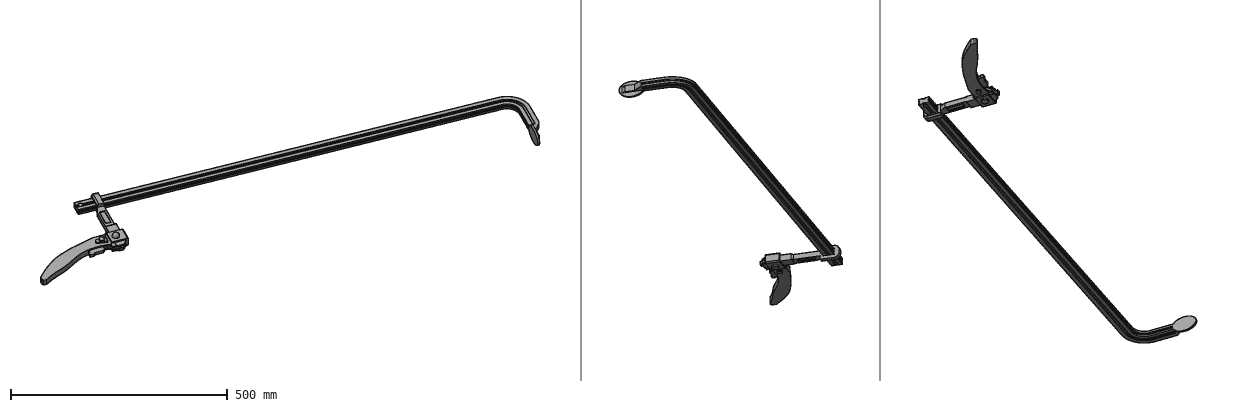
import cadquery as cq


RAIL_WIDTH = 27.0
RAIL_THICKNESS = 15.0
RAIL_TOP = 1103.0
BEND_RADIUS = 45.0
BENT_END = 101.0
FACE_GROOVE_WIDTH = 5.7
SIDE_GROOVE_WIDTH = 4.0
GROOVE_DEPTH = 1.9
STOP_Y = 10.0
STOP_DIAMETER = 11.0
STOP_HEIGHT = 1.0

PAD_CENTRE_X = 132.0
PAD_LENGTH = 61.0
PAD_HEIGHT = 38.0
PAD_THICKNESS = 5.0
TOE_RIDGE_HEIGHT = 10.0
TOE_RIDGE_START = 123.0
TOE_RIDGE_END = 146.0
TOE_END = 155.0

ARM_THICKNESS = 15.0
BEAM_THICKNESS = 13.0
SLEEVE_LEFT = -25.0
SLEEVE_RIGHT = 20.0
SLEEVE_BOTTOM = 45.0
SLEEVE_HEIGHT = 30.0
SLEEVE_ROUND = 11.0
SLEEVE_EDGE = 4.0
ARM_BOTTOM = 38.0
ARM_TOP = 61.0
ARM_TAPER_END = 35.0
HEAD_STEP_START = 85.0
HEAD_STEP_END = 90.0
HEAD_TOP = 65.0
HEAD_RIGHT = 164.0
HEAD_BEVEL_WIDTH = 11.0
HEAD_BEVEL_HEIGHT = 8.0
ARM_RIB = 5.0
ARM_POCKET_LEFT = 37.0
ARM_POCKET_RIGHT = 79.0
ARM_POCKET_DEPTH = 3.0

CLEVIS_LEFT = 117.0
CLEVIS_RIGHT = 151.0
CLEVIS_BOTTOM = 30.0
CLEVIS_TOP = 72.0
CLEVIS_CHEEK = 4.0
CLEVIS_EDGE = 3.2

PIVOT_X = 135.0
PIVOT_Y = 47.0
PIVOT_RADIUS = 5.0
PIVOT_HEAD_RADIUS = 9.0
PIVOT_FOOT_HEIGHT = 4.0

HANDLE_THICKNESS = 15.0
HANDLE_HEAD_LEFT = 113.0
HANDLE_HEAD_RIGHT = 162.0
HANDLE_HEAD_BOTTOM = 28.0
HANDLE_NECK_LEFT = 117.0
HANDLE_NECK_RIGHT = 153.0
HANDLE_INNER_EDGE = [(117.0, -4.0), (124.0, -33.0), (136.0, -68.0), (155.0, -110.0), (178.0, -140.0), (204.0, -165.0)]
HANDLE_OUTER_EDGE = [
    (217.0, -155.0), (210.0, -145.0), (202.0, -128.0), (191.0, -104.0), (178.0, -80.0), (158.0, -46.0), (151.0, -11.0),
    (HANDLE_NECK_RIGHT, HANDLE_HEAD_BOTTOM),
]
HANDLE_TIP = (217.0, -162.0)
HANDLE_TIP_BLUNT = 5.0

TRIGGER_THICKNESS = 8.0
TRIGGER_ROOT = 145.0
TRIGGER_NECK = 155.0
TRIGGER_OUTLINE = [
    (TRIGGER_ROOT, -19.0), (TRIGGER_ROOT, 32.0), (TRIGGER_NECK, 32.0), (TRIGGER_NECK, 56.0),
    (162.0, 56.0), (170.0, 52.0), (170.0, 40.0), (166.0, 48.0), (162.0, 40.0), (158.0, 29.0), (151.0, 19.0),
    (151.0, 10.0), (158.0, 10.0), (164.0, 5.0), (164.0, -15.0), (167.0, -19.0), (167.0, -29.0), (161.0, -29.0),
]
TRIGGER_SLOT_BOTTOM = -27.0

STRAP_THICKNESS = 4.0
STRAP_TOP = 24.0
STRAP_BOTTOM = -4.0
STRAP_WIDE = 18.0
STRAP_NARROW = 10.0

RIVET_X = 136.0
RIVET_Y = 11.0
RIVET_RADIUS = 4.0
RIVET_HEAD_RADIUS = 6.0
RIVET_HEAD_HEIGHT = 4.0


def box_between(x0, x1, y0, y1, height):
    """Block between two X and two Y positions, centred on the mid plane."""
    return cq.Workplane().box(x1 - x0, y1 - y0, height).translate(((x0 + x1) / 2, (y0 + y1) / 2, 0))


def plate(outline, thickness):
    """Flat plate of the given outline, centred on the mid plane."""
    return cq.Workplane().workplane(offset=-thickness / 2).polyline(outline).close().extrude(thickness)


def post(x, y, radius, bottom, top):
    """Round bar along Z."""
    return cq.Workplane().workplane(offset=bottom).center(x, y).circle(radius).extrude(top - bottom)


def make_rail():
    arm_axis_y = RAIL_TOP - RAIL_WIDTH / 2
    section = cq.Sketch().rect(RAIL_WIDTH, RAIL_THICKNESS)
    section = section.push([(0, RAIL_THICKNESS / 2), (0, -RAIL_THICKNESS / 2)])
    section = section.rect(FACE_GROOVE_WIDTH, 2 * GROOVE_DEPTH, mode="s").reset()
    section = section.push([(RAIL_WIDTH / 2, 0), (-RAIL_WIDTH / 2, 0)])
    section = section.rect(2 * GROOVE_DEPTH, SIDE_GROOVE_WIDTH, mode="s").reset()
    path = (
        cq.Workplane()
        .lineTo(0, arm_axis_y - BEND_RADIUS)
        .radiusArc((BEND_RADIUS, arm_axis_y), BEND_RADIUS)
        .lineTo(BENT_END, arm_axis_y)
    )
    rail = cq.Workplane("XZ").placeSketch(section).sweep(path)

    face_y = RAIL_TOP - RAIL_WIDTH
    toe = plate(
        [
            (BENT_END, face_y),
            (BENT_END, RAIL_TOP),
            (TOE_RIDGE_START, face_y + TOE_RIDGE_HEIGHT),
            (TOE_RIDGE_END, face_y + TOE_RIDGE_HEIGHT),
            (TOE_END, face_y + PAD_THICKNESS),
            (TOE_END, face_y),
        ],
        RAIL_THICKNESS,
    )
    pad = (
        cq.Workplane("XZ", origin=(PAD_CENTRE_X, face_y, 0))
        .ellipse(PAD_LENGTH / 2, PAD_HEIGHT / 2)
        .extrude(-PAD_THICKNESS)
    )
    stop_reach = RAIL_THICKNESS / 2 + STOP_HEIGHT
    stop = post(0, STOP_Y, STOP_DIAMETER / 2, -stop_reach, stop_reach)
    return rail.union(toe).union(pad).union(stop)


def make_arm():
    sleeve = box_between(SLEEVE_LEFT, SLEEVE_RIGHT, SLEEVE_BOTTOM, ARM_TOP, SLEEVE_HEIGHT)
    sleeve = sleeve.edges("<X and |Y").fillet(SLEEVE_ROUND)
    sleeve = sleeve.faces("<Y").edges("not >X").chamfer(SLEEVE_EDGE)
    beam = plate(
        [
            (SLEEVE_RIGHT, SLEEVE_BOTTOM),
            (ARM_TAPER_END, ARM_BOTTOM),
            (HEAD_STEP_END, ARM_BOTTOM),
            (HEAD_STEP_END, HEAD_TOP),
            (HEAD_STEP_START, ARM_TOP),
            (SLEEVE_RIGHT, ARM_TOP),
        ],
        BEAM_THICKNESS,
    )
    head = plate(
        [
            (HEAD_STEP_END, ARM_BOTTOM),
            (HEAD_RIGHT, ARM_BOTTOM),
            (HEAD_RIGHT, HEAD_TOP - HEAD_BEVEL_HEIGHT),
            (HEAD_RIGHT - HEAD_BEVEL_WIDTH, HEAD_TOP),
            (HEAD_STEP_END, HEAD_TOP),
        ],
        ARM_THICKNESS,
    )
    arm = sleeve.union(beam).union(head)

    pocket = box_between(
        ARM_POCKET_LEFT, ARM_POCKET_RIGHT, ARM_BOTTOM + ARM_RIB, ARM_TOP - ARM_RIB, 2 * ARM_POCKET_DEPTH
    )
    for side in (1, -1):
        arm = arm.cut(pocket.translate((0, 0, side * BEAM_THICKNESS / 2)))

    rail_window = box_between(-RAIL_WIDTH / 2, RAIL_WIDTH / 2, ARM_BOTTOM, HEAD_TOP, RAIL_THICKNESS)
    pivot_hole = post(PIVOT_X, PIVOT_Y, PIVOT_RADIUS, -ARM_THICKNESS, ARM_THICKNESS)
    return arm.cut(rail_window).cut(pivot_hole).cut(trigger_slot())


def make_clevis():
    height = ARM_THICKNESS + 2 * CLEVIS_CHEEK
    clevis = box_between(CLEVIS_LEFT, CLEVIS_RIGHT, CLEVIS_BOTTOM, CLEVIS_TOP, height)
    clevis = clevis.faces(">Y").edges("|X").chamfer(CLEVIS_EDGE)
    arm_slot = box_between(CLEVIS_LEFT, CLEVIS_RIGHT, CLEVIS_BOTTOM, HEAD_TOP, ARM_THICKNESS)
    pivot_hole = post(PIVOT_X, PIVOT_Y, PIVOT_RADIUS, -height, height)
    return clevis.cut(arm_slot).cut(pivot_hole)


def make_pivot():
    seat = ARM_THICKNESS / 2 + CLEVIS_CHEEK
    shank = post(PIVOT_X, PIVOT_Y, PIVOT_RADIUS, -seat, seat)
    foot = post(PIVOT_X, PIVOT_Y, PIVOT_HEAD_RADIUS, -seat - PIVOT_FOOT_HEIGHT, -seat)
    dome = cq.Workplane().sphere(PIVOT_HEAD_RADIUS, angle1=0).translate((PIVOT_X, PIVOT_Y, seat))
    return shank.union(foot).union(dome)


def make_handle():
    handle = (
        cq.Workplane()
        .workplane(offset=-HANDLE_THICKNESS / 2)
        .moveTo(HANDLE_NECK_RIGHT, HANDLE_HEAD_BOTTOM)
        .lineTo(HANDLE_HEAD_RIGHT, HANDLE_HEAD_BOTTOM)
        .lineTo(HANDLE_HEAD_RIGHT, ARM_BOTTOM)
        .lineTo(HANDLE_HEAD_LEFT, ARM_BOTTOM)
        .lineTo(HANDLE_HEAD_LEFT, HANDLE_HEAD_BOTTOM)
        .lineTo(HANDLE_NECK_LEFT, HANDLE_HEAD_BOTTOM)
        .lineTo(*HANDLE_INNER_EDGE[0])
        .spline(HANDLE_INNER_EDGE[1:], includeCurrent=True)
        .lineTo(HANDLE_TIP[0] - HANDLE_TIP_BLUNT, HANDLE_INNER_EDGE[-1][1])
        .lineTo(*HANDLE_TIP)
        .lineTo(*HANDLE_OUTER_EDGE[0])
        .spline(HANDLE_OUTER_EDGE[1:], includeCurrent=True)
        .close()
        .extrude(HANDLE_THICKNESS)
    )
    rivet_hole = post(RIVET_X, RIVET_Y, RIVET_RADIUS, -HANDLE_THICKNESS, HANDLE_THICKNESS)
    return handle.cut(rivet_hole).cut(trigger_slot())


def trigger_slot():
    """Slot that clears the trigger, deeper in the handle than in the arm."""
    in_handle = box_between(TRIGGER_ROOT, HEAD_RIGHT, TRIGGER_SLOT_BOTTOM, ARM_BOTTOM, TRIGGER_THICKNESS)
    in_arm = box_between(TRIGGER_NECK, HEAD_RIGHT, ARM_BOTTOM, HEAD_TOP, TRIGGER_THICKNESS)
    return in_handle.union(in_arm)


def make_trigger():
    return plate(TRIGGER_OUTLINE, TRIGGER_THICKNESS)


def make_strap():
    strap = (
        cq.Workplane()
        .workplane(offset=HANDLE_THICKNESS / 2)
        .moveTo(RIVET_X - STRAP_WIDE / 2, STRAP_TOP)
        .lineTo(RIVET_X + STRAP_WIDE / 2, STRAP_TOP)
        .lineTo(RIVET_X + STRAP_NARROW / 2, STRAP_BOTTOM + STRAP_NARROW / 2)
        .threePointArc((RIVET_X, STRAP_BOTTOM), (RIVET_X - STRAP_NARROW / 2, STRAP_BOTTOM + STRAP_NARROW / 2))
        .close()
        .extrude(STRAP_THICKNESS)
    )
    return strap.cut(post(RIVET_X, RIVET_Y, RIVET_RADIUS, 0, HANDLE_THICKNESS))


def make_rivet():
    bottom = -HANDLE_THICKNESS / 2
    top = HANDLE_THICKNESS / 2 + STRAP_THICKNESS
    shank = post(RIVET_X, RIVET_Y, RIVET_RADIUS, bottom, top)
    upper_head = post(RIVET_X, RIVET_Y, RIVET_HEAD_RADIUS, top, top + RIVET_HEAD_HEIGHT)
    lower_head = post(RIVET_X, RIVET_Y, RIVET_HEAD_RADIUS, bottom - RIVET_HEAD_HEIGHT, bottom)
    return shank.union(upper_head).union(lower_head)


rail = make_rail()
arm = make_arm()
clevis = make_clevis()
pivot = make_pivot()
handle = make_handle()
trigger = make_trigger()
strap = make_strap()
rivet = make_rivet()

bodies = [rail, arm, clevis, pivot, handle, trigger, strap, rivet]
result = cq.Compound.makeCompound([body.solids().val() for body in bodies])